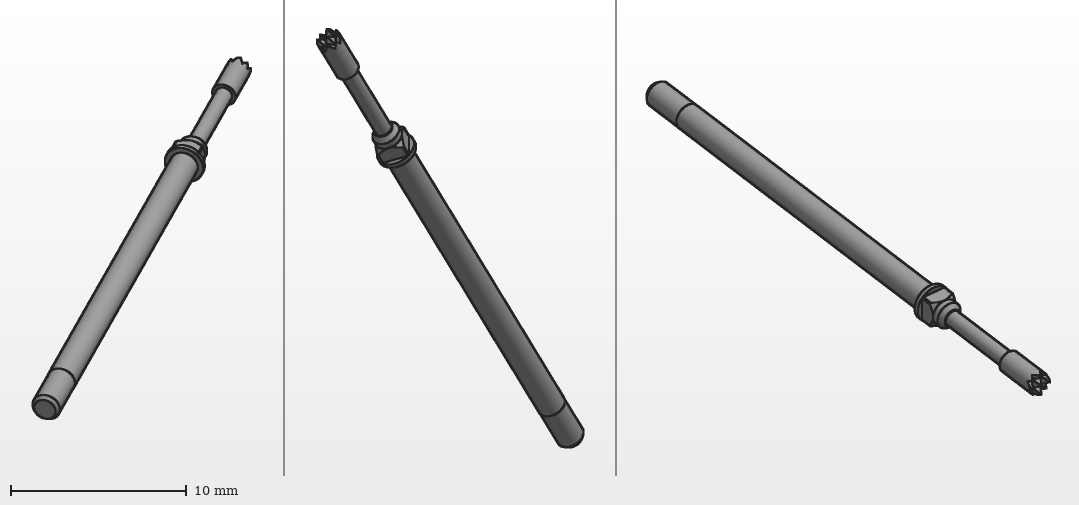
import cadquery as cq
import math


barrel_diameter = 1.66
barrel_length = 22.5
tail_diameter = 1.64
tail_length = 3.0
tail_chamfer_length = 0.25
tail_chamfer_depth = 0.18

flange_diameter = 2.3
flange_thickness = 0.3

square_side = barrel_diameter
square_corner_diameter = 2.26
cone_height = 0.3
cone_end = 1.0
mouth_diameter = barrel_diameter
mouth_tip_diameter = 1.14
taper_start = 1.42
mouth_end = 1.76

rod_diameter = 1.0
head_diameter = 1.4
head_length = 3.0
plunger_reach = 10.0

tooth_pitch = 0.6
groove_angle = 60.0
tooth_depth = tooth_pitch / 2 / math.tan(math.radians(groove_angle / 2))
groove_count = 4
groove_offsets = [(i - (groove_count - 1) / 2) * tooth_pitch for i in range(groove_count)]


def cylinder(diameter, start, length):
    """Round bar on the Y axis running from `start` towards +Y."""
    plane = cq.Workplane("XZ", origin=(0, start, 0))
    return plane.circle(diameter / 2).extrude(-length)


def make_barrel():
    """Barrel with its chamfered tail and the stop flange."""
    barrel_end = -flange_thickness - barrel_length
    barrel = cylinder(barrel_diameter, barrel_end, barrel_length)
    tail_end = barrel_end - tail_length
    tail_radius = tail_diameter / 2
    tail = (
        cq.Workplane("XY")
        .moveTo(0, barrel_end)
        .lineTo(tail_radius, barrel_end)
        .lineTo(tail_radius, tail_end + tail_chamfer_length)
        .lineTo(tail_radius - tail_chamfer_depth, tail_end)
        .lineTo(0, tail_end)
        .close()
        .revolve(360, (0, 0, 0), (0, 1, 0))
    )
    flange = cylinder(flange_diameter, -flange_thickness, flange_thickness)
    return barrel.union(tail).union(flange)


def make_collar():
    """Round collar with four flats: square at the flange, coned down to a tapered mouth."""
    corner_radius = square_corner_diameter / 2
    mouth_radius = mouth_diameter / 2
    collar = (
        cq.Workplane("XY")
        .moveTo(0, 0)
        .lineTo(corner_radius, 0)
        .lineTo(corner_radius, cone_end - cone_height)
        .lineTo(mouth_radius, cone_end)
        .lineTo(mouth_radius, taper_start)
        .lineTo(mouth_tip_diameter / 2, mouth_end)
        .lineTo(0, mouth_end)
        .close()
        .revolve(360, (0, 0, 0), (0, 1, 0))
    )
    square = cq.Workplane("XZ").rect(square_side, square_side).extrude(-mouth_end)
    return collar.intersect(square)


def make_plunger():
    """Slim rod carrying a wider head cut into pyramid teeth."""
    rod = cylinder(rod_diameter, 0, plunger_reach - head_length)
    head = cylinder(head_diameter, plunger_reach - head_length, head_length)
    for offset in groove_offsets:
        groove = (
            cq.Workplane("XY")
            .moveTo(offset, plunger_reach - tooth_depth)
            .lineTo(offset + tooth_pitch / 2, plunger_reach)
            .lineTo(offset - tooth_pitch / 2, plunger_reach)
            .close()
            .extrude(head_diameter, both=True)
        )
        crossing_groove = groove.rotate((0, 0, 0), (0, 1, 0), 90)
        head = head.cut(groove).cut(crossing_groove)
    return rod.union(head)


result = make_barrel().union(make_collar()).union(make_plunger())